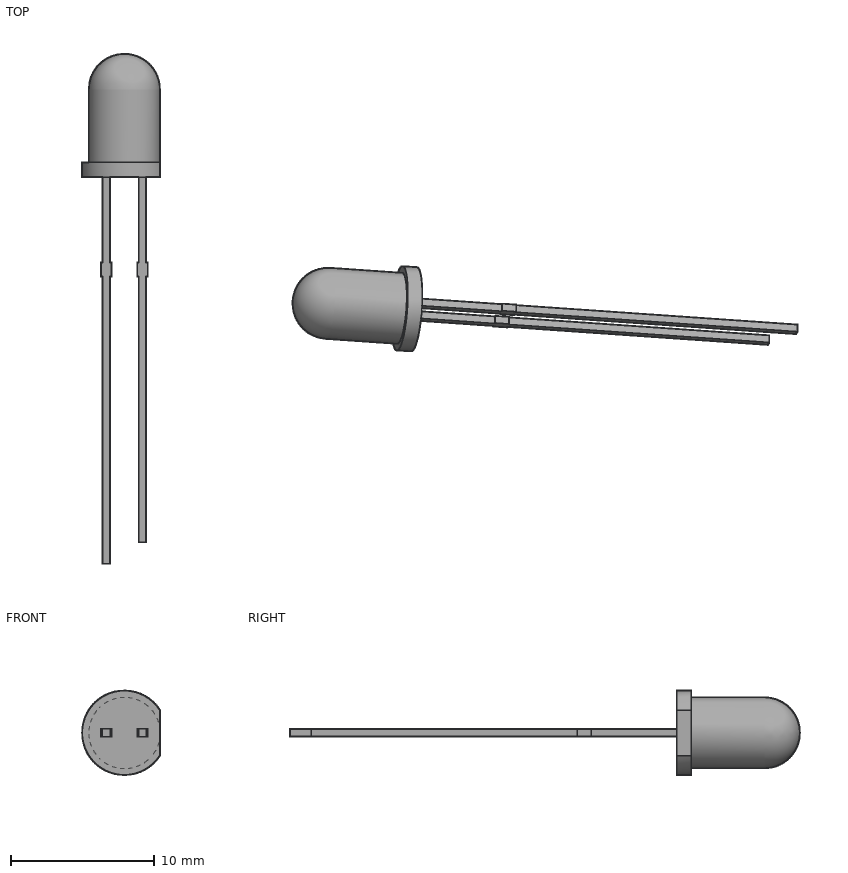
import cadquery as cq


total_length = 35.6
lens_radius = 2.5
lens_length = 8.6
dome_start = lens_length - lens_radius

flange_radius = 2.95
flange_thickness = 1.05
flat_distance = lens_radius

lead_pitch = 2.53
lead_width = 0.55
long_lead_length = total_length - lens_length
short_lead_step = 1.5
short_lead_length = long_lead_length - short_lead_step
stop_width = 0.75
stop_length = 1.0
stop_start = 5.95


def make_lens():
    """Solid of revolution: a cylinder closed by a hemispherical dome."""
    dome_mid = lens_radius * 0.5 ** 0.5
    return (
        cq.Workplane("XY")
        .moveTo(0, 0)
        .lineTo(lens_radius, 0)
        .lineTo(lens_radius, dome_start)
        .threePointArc((dome_mid, dome_start + dome_mid), (0, lens_length))
        .close()
        .revolve(360, (0, 0, 0), (0, 1, 0))
    )


def make_flange():
    """Round flange with one side cut flat to mark the polarity."""
    disc = cq.Workplane("XZ").circle(flange_radius).extrude(-flange_thickness)
    keep_width = flange_radius + flat_distance
    keep = (
        cq.Workplane("XZ")
        .center(flat_distance - keep_width / 2, 0)
        .rect(keep_width, 2 * flange_radius)
        .extrude(-flange_thickness)
    )
    return disc.intersect(keep)


def make_lead(x, length):
    """Square lead centred on the given X, running to -Y, widened along X by a short stop block."""
    wire = cq.Workplane("XZ").center(x, 0).rect(lead_width, lead_width).extrude(length)
    stop = (
        cq.Workplane("XZ", origin=(0, -stop_start, 0))
        .center(x, 0)
        .rect(stop_width, lead_width)
        .extrude(stop_length)
    )
    return wire.union(stop)


leads = (
    make_lead(-lead_pitch / 2, long_lead_length),
    make_lead(lead_pitch / 2, short_lead_length),
)
result = make_lens().union(make_flange())
for lead in leads:
    result = result.union(lead)